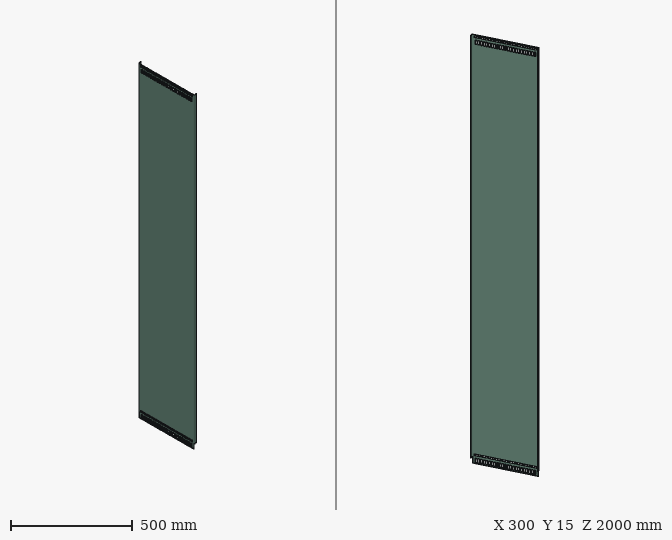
import cadquery as cq

LENGTH = 2000.0
WIDTH = 300.0
DEPTH = 15.0
SHEET = 1.5
OUTER_BEND = 3.0

FLANGE_SETBACK = 30.0

TRAY_PITCH = 1950.0

LONG_SLOT_COUNT = 9
LONG_ROW_WIDTH = 280.0
LONG_SLOT_BRIDGE = 4.5
LONG_SLOT_HEIGHT = 7.0
LONG_ROW_INSET = 10.0

UPRIGHT_SLOT_COUNT = 23
UPRIGHT_SLOT_PITCH = 12.0
UPRIGHT_SLOT_WIDTH = 7.0
UPRIGHT_SLOT_HEIGHT = 20.0
ROW_GAP = 15.0

long_slot_width = (LONG_ROW_WIDTH - (LONG_SLOT_COUNT - 1) * LONG_SLOT_BRIDGE) / LONG_SLOT_COUNT
long_slot_pitch = long_slot_width + LONG_SLOT_BRIDGE
long_row_z = LENGTH / 2 - LONG_ROW_INSET
upright_row_z = long_row_z - ROW_GAP - UPRIGHT_SLOT_HEIGHT / 2

front_y = -DEPTH / 2
floor_width = WIDTH - 2 * OUTER_BEND


def make_floor():
    """Flat sheet between the bends, over the full length."""
    return cq.Workplane("XY").box(floor_width, SHEET, LENGTH).translate((0, front_y + SHEET / 2, 0))


def make_flange(side):
    """Rounded bend and upright flange on the +X side (side = 1) or the -X side (side = -1)."""
    outer_x = side * WIDTH / 2
    inner_x = outer_x - side * SHEET
    bend_x = side * floor_width / 2
    bend_y = front_y + OUTER_BEND
    inner_bend = OUTER_BEND - SHEET
    profile = (
        cq.Workplane("XY")
        .moveTo(bend_x, front_y)
        .radiusArc((outer_x, bend_y), -side * OUTER_BEND)
        .lineTo(outer_x, DEPTH / 2)
        .lineTo(inner_x, DEPTH / 2)
        .lineTo(inner_x, bend_y)
        .radiusArc((bend_x, front_y + SHEET), side * inner_bend)
        .close()
    )
    flange_length = LENGTH - FLANGE_SETBACK
    return profile.extrude(flange_length).translate((0, 0, LENGTH / 2 - flange_length))


def row_points(count, pitch, z):
    """Centres of a row of slots spread evenly about X = 0."""
    return [((i - (count - 1) / 2) * pitch, z) for i in range(count)]


def make_slot_cutters(drop):
    """Cutters for one perforated band, lowered by `drop` from the upper end."""
    floor_back = cq.Workplane("XZ", origin=(0, front_y + SHEET, 0))
    long_slots = (
        floor_back.pushPoints(row_points(LONG_SLOT_COUNT, long_slot_pitch, long_row_z - drop))
        .rect(long_slot_width, LONG_SLOT_HEIGHT)
        .extrude(SHEET)
    )
    upright_slots = (
        floor_back.pushPoints(row_points(UPRIGHT_SLOT_COUNT, UPRIGHT_SLOT_PITCH, upright_row_z - drop))
        .slot2D(UPRIGHT_SLOT_HEIGHT, UPRIGHT_SLOT_WIDTH, 90)
        .extrude(SHEET)
    )
    return long_slots, upright_slots


result = make_floor()
for band_drop in (0, TRAY_PITCH):
    for cutter in make_slot_cutters(band_drop):
        result = result.cut(cutter)
for flange_side in (-1, 1):
    result = result.union(make_flange(flange_side))